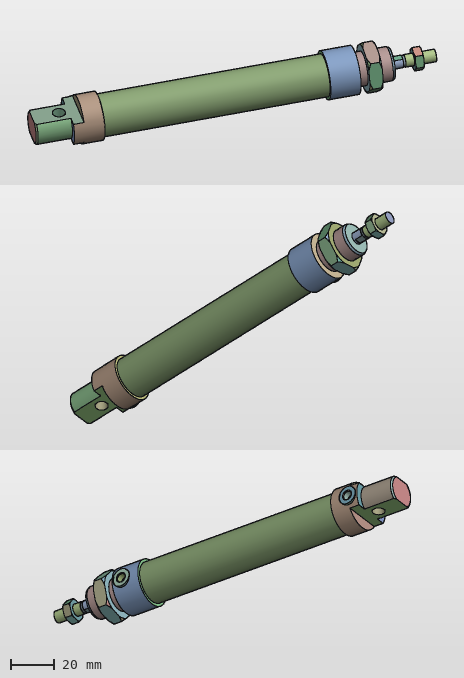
import cadquery as cq
import math


TANG_STEP_Y = 17.0
FLATS_END_Y = 22.0
REAR_CAP_END_Y = 31.5
HEAD_START_Y = 138.5
HEAD_END_Y = 152.8
NOSE_END_Y = 170.2
ROD_TIP_Y = 191.0

TUBE_DIA = 20.0
CAP_DIA = 23.0
NOSE_DIA = 16.0
NOSE_CHAMFER_LENGTH = 1.1
NOSE_CHAMFER_DEPTH = 0.5
TANG_DIA = NOSE_DIA
TANG_CHAMFER = 0.8
TANG_THICKNESS = 12.0
PIN_HOLE_DIA = 6.0
PIN_HOLE_Y = 12.8

PORT_YS = (22.2, 147.6)
PORT_BOSS_DIA = 9.0
PORT_FACE_X = -11.8
PORT_MOUTH_DIA = 5.0
PORT_DIA = 4.2
PORT_CHAMFER = (PORT_MOUTH_DIA - PORT_DIA) / 2
PORT_DEPTH = 3.8

ROD_DIA = 6.0
NECK_DIA = 5.3
NECK_START_Y = 175.3
NECK_LENGTH = 1.1
ROD_FLATS_WIDTH = 5.0
ROD_FLATS_START_Y = 171.1

LOCK_NUT_Y = 157.0
LOCK_NUT_THICKNESS = 6.3
LOCK_NUT_WIDTH = 22.0
LOCK_NUT_ANGLE = -12.5
LOCK_NUT_CHAMFER_LENGTH = 1.1
LOCK_NUT_CHAMFER_DEPTH = 1.3
ROD_NUT_Y = 180.5
ROD_NUT_THICKNESS = 4.0
ROD_NUT_WIDTH = 10.0
ROD_NUT_ANGLE = -8.0
ROD_NUT_CHAMFER_LENGTH = 0.4
ROD_NUT_CHAMFER_DEPTH = 0.5


def cylinder_y(diameter, start, end):
    """Solid cylinder on the Y axis between two positions."""
    return cq.Workplane("XZ", origin=(0, start, 0)).circle(diameter / 2).extrude(start - end)


def rear_cap():
    """Cap with a tang that is flattened on top and bottom and drilled for a pin."""
    tang = cylinder_y(TANG_DIA, 0, TANG_STEP_Y).faces("<Y").chamfer(TANG_CHAMFER)
    cap = cylinder_y(CAP_DIA, TANG_STEP_Y, REAR_CAP_END_Y).union(tang)
    for side in (1, -1):
        waste = cq.Workplane("XY").box(CAP_DIA, FLATS_END_Y, CAP_DIA, centered=(True, False, True))
        cap = cap.cut(waste.translate((0, 0, side * (TANG_THICKNESS + CAP_DIA) / 2)))
    pin_hole = cq.Workplane("XY").center(0, PIN_HOLE_Y).circle(PIN_HOLE_DIA / 2).extrude(CAP_DIA, both=True)
    return cap.cut(pin_hole)


def nose():
    """Plain cylindrical nose with a shallow end chamfer."""
    radius = NOSE_DIA / 2
    return (
        cq.Workplane("XY")
        .moveTo(0, HEAD_END_Y)
        .lineTo(radius, HEAD_END_Y)
        .lineTo(radius, NOSE_END_Y - NOSE_CHAMFER_LENGTH)
        .lineTo(radius - NOSE_CHAMFER_DEPTH, NOSE_END_Y)
        .lineTo(0, NOSE_END_Y)
        .close()
        .revolve(360, (0, 0, 0), (0, 1, 0))
    )


def port_boss(y):
    """Low round boss that gives the port a flat face."""
    return cq.Workplane("YZ", origin=(PORT_FACE_X, y, 0)).circle(PORT_BOSS_DIA / 2).extrude(PORT_DEPTH)


def port_hole(y):
    """Blind port hole with a countersunk mouth."""
    return (
        cq.Workplane("XY")
        .polyline([
            (PORT_FACE_X, 0),
            (PORT_FACE_X, PORT_MOUTH_DIA / 2),
            (PORT_FACE_X + PORT_CHAMFER, PORT_DIA / 2),
            (PORT_FACE_X + PORT_DEPTH, PORT_DIA / 2),
            (PORT_FACE_X + PORT_DEPTH, 0),
        ])
        .close()
        .revolve(360, (0, 0, 0), (1, 0, 0))
        .translate((0, y, 0))
    )


def make_housing():
    """Rear cap, tube, head and nose, with a blind bore that holds the rod."""
    housing = (
        rear_cap()
        .union(cylinder_y(TUBE_DIA, REAR_CAP_END_Y, HEAD_START_Y))
        .union(cylinder_y(CAP_DIA, HEAD_START_Y, HEAD_END_Y))
        .union(nose())
    )
    for y in PORT_YS:
        housing = housing.union(port_boss(y)).cut(port_hole(y))
    return housing.cut(cylinder_y(ROD_DIA, HEAD_END_Y, NOSE_END_Y))


def make_rod():
    """Rod with two wrench flats and a thread relief neck."""
    rod = cylinder_y(ROD_DIA, HEAD_END_Y, ROD_TIP_Y)
    neck_end = NECK_START_Y + NECK_LENGTH
    ring = cylinder_y(ROD_DIA, NECK_START_Y, neck_end).cut(cylinder_y(NECK_DIA, NECK_START_Y, neck_end))
    rod = rod.cut(ring)
    flats_length = NECK_START_Y - ROD_FLATS_START_Y
    for side in (1, -1):
        waste = cq.Workplane("XY").box(ROD_DIA, flats_length, ROD_DIA, centered=(True, False, True))
        rod = rod.cut(waste.translate((0, ROD_FLATS_START_Y, side * (ROD_FLATS_WIDTH + ROD_DIA) / 2)))
    return rod


def make_nut(y, thickness, width, bore, angle, chamfer_length, chamfer_depth):
    """Hexagon nut turned about Y, with its corners trimmed by a cone on both faces."""
    corner_dia = width / math.cos(math.radians(30))
    hexagon = cq.Workplane("XZ").polygon(6, corner_dia).extrude(-thickness)
    radius = corner_dia / 2
    envelope = (
        cq.Workplane("XY")
        .polyline([
            (0, 0),
            (radius - chamfer_depth, 0),
            (radius, chamfer_length),
            (radius, thickness - chamfer_length),
            (radius - chamfer_depth, thickness),
            (0, thickness),
        ])
        .close()
        .revolve(360, (0, 0, 0), (0, 1, 0))
    )
    nut = hexagon.intersect(envelope).cut(cylinder_y(bore, 0, thickness))
    return nut.rotate((0, 0, 0), (0, 1, 0), -angle).translate((0, y, 0))


housing = make_housing()
rod = make_rod()
lock_nut = make_nut(
    LOCK_NUT_Y, LOCK_NUT_THICKNESS, LOCK_NUT_WIDTH, NOSE_DIA,
    LOCK_NUT_ANGLE, LOCK_NUT_CHAMFER_LENGTH, LOCK_NUT_CHAMFER_DEPTH,
)
rod_nut = make_nut(
    ROD_NUT_Y, ROD_NUT_THICKNESS, ROD_NUT_WIDTH, ROD_DIA,
    ROD_NUT_ANGLE, ROD_NUT_CHAMFER_LENGTH, ROD_NUT_CHAMFER_DEPTH,
)

result = cq.Compound.makeCompound([housing.val(), rod.val(), lock_nut.val(), rod_nut.val()])